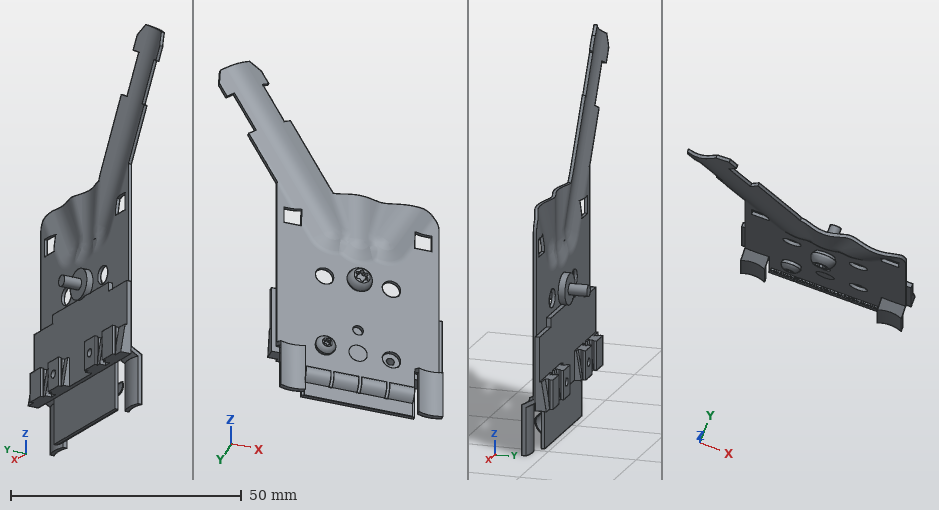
import cadquery as cq
import math


sheet = 0.8
plate_half_width = 18.6
plate_top = 55.0
corner_radius = 4.3
window_side = 4.0
window_x = 15.0
window_z = 46.85
hole_pitch_x = 7.7
hole_diameter = 4.2
upper_hole_z = 32.8
lower_hole_z = 14.1
pilot_diameter = 2.4
pilot_z = 20.2

arm_lean = 30.0
arm_axis_offset = 17.0
arm_start = 46.85
arm_tip = 86.3
arm_shoulder = 83.5
arm_half_width = 5.5
tip_half_width = 3.8
neck_half_width = 3.75
neck_start = 70.1
neck_end = 80.1

rib_height = 1.2
rib_slope = 16.0
rib_crown_half_width = 2.5
rib_length = 59.6
arm_rib_end = 41.7
centre_rib_end = 43.45
rib_root_depth = 0.7
valley_radius = 4.3
foot_radius = 3.8

cut_reach = 8.5
valley_tolerance = 0.3
length_tolerance = 0.01

tongue_half_width = 12.95
tongue_bottom = 0.2
tab_inner_x = 13.0
tab_front = -2.6
tab_thickness = 1.0
tab_bow = 0.55
tab_bend_bottom = 11.5
tab_bend_top = 12.95
tab_bend_extra_depth = 0.5
tab_root_z = 12.3

leaf_thickness = 0.25
finger_count = 4
finger_pitch = 6.4
finger_width = 5.7
finger_top = 7.0
curl_radius = 3.15
curl_centre_y = 1.5
curl_centre_z = 6.1

bracket_thickness = 1.0
bracket_half_width = 19.6
bracket_bottom = 10.7
bracket_shoulder = 27.5
bracket_centre_half_width = 11.8
bracket_top = 29.6
bracket_hole_diameter = 1.8
hook_top = 17.4
wing_thin_y = 2.2
wing_thick_y = 3.3
hook_neck_half_width = 1.7
hook_head_half_width = 2.2
hook_flare_start = 2.9
hook_flare_end = 3.5
hook_back = 4.1
inner_hook_x = 7.7
inner_wing_half_width = 3.0
outer_hook_x = 15.25
outer_wing_inner_x = 12.3

washer_diameter = 7.1
washer_back = 2.3
screw_tip = 6.6
screw_shank_diameter = 2.55
screw_head_diameter = 5.6
screw_seat_diameter = 4.5
screw_face_diameter = 3.7
screw_rim_back = -0.8
screw_rim_front = -1.3
screw_face = -2.7
screw_drive_diameter = 3.0
screw_drive_depth = 1.2
small_head_diameter = 4.6
small_seat_diameter = 4.35
small_face_diameter = 2.2
small_rim_back = -0.7
small_rim_front = -0.8
small_face = -1.8
small_drive_diameter = 1.6
small_drive_depth = 0.7
dome_bulge = 0.13

bracket_back = sheet + bracket_thickness


def box_between(x0, x1, y0, y1, z0, z1):
    """Box given by its limits along each axis."""
    return cq.Workplane("XY").box(x1 - x0, y1 - y0, z1 - z0, centered=False).translate((x0, y0, z0))


def rod(x, z, diameter, y0, y1):
    """Cylinder along Y from y0 to y1."""
    solid = cq.Solid.makeCylinder(diameter / 2, y1 - y0, cq.Vector(x, y0, z), cq.Vector(0, 1, 0))
    return cq.Workplane(obj=solid)


def lean_with_arm(shape):
    """Move a shape standing on the Z axis onto the arm axis."""
    lean = math.radians(arm_lean)
    shift = (arm_axis_offset * math.cos(lean), 0, arm_axis_offset * math.sin(lean))
    return shape.rotate((0, 0, 0), (0, 1, 0), -arm_lean).translate(shift)


def rib(end):
    """Rib along Z with a round crown and straight flanks; its lower end is a half revolution."""
    slope = math.radians(rib_slope)
    crown_radius = rib_crown_half_width / math.sin(slope)
    shoulder_y = -rib_height + crown_radius * (1 - math.cos(slope))
    half_crown_x = crown_radius * math.sin(slope / 2)
    half_crown_y = -rib_height + crown_radius * (1 - math.cos(slope / 2))
    root_x = rib_crown_half_width + (rib_root_depth - shoulder_y) / math.tan(slope)
    half_section = (
        cq.Workplane("XY")
        .moveTo(0, rib_root_depth)
        .lineTo(0, -rib_height)
        .threePointArc((half_crown_x, half_crown_y), (rib_crown_half_width, shoulder_y))
        .lineTo(root_x, rib_root_depth)
        .close()
    )
    round_end = half_section.revolve(180, (0, 0), (0, 1))
    section = (
        cq.Workplane("XY")
        .moveTo(-root_x, rib_root_depth)
        .lineTo(-rib_crown_half_width, shoulder_y)
        .threePointArc((0, -rib_height), (rib_crown_half_width, shoulder_y))
        .lineTo(root_x, rib_root_depth)
        .close()
    )
    return section.extrude(rib_length).union(round_end).translate((0, 0, end))


def valley_edges(ribs):
    """Creases that run up between the middle rib and each leaning rib."""
    valley_lean = math.radians(arm_lean / 2)
    ribs_meet_z = arm_axis_offset / math.sin(math.radians(arm_lean))

    def along_valley(edge):
        ends = (edge.startPoint(), edge.endPoint())
        offsets = [abs(p.x) - (p.z - ribs_meet_z) * math.tan(valley_lean) for p in ends]
        climbs = abs(ends[0].z - ends[1].z) > rib_height
        return climbs and max(map(abs, offsets)) < valley_tolerance

    return [edge for edge in ribs.edges().vals() if along_valley(edge)]


def foot_edges(front):
    """Round ends and long outer sides where the ribs rise from the flat face."""
    flat_edges = [edge for edge in front.edges().vals() if abs(edge.Center().y) < length_tolerance]
    round_edges = [edge for edge in flat_edges if edge.geomType() in ("CIRCLE", "BSPLINE")]
    outer_sides = [edge for edge in flat_edges if abs(edge.Length() - rib_length) < length_tolerance]
    return round_edges + outer_sides


def embossed_front():
    """Thick slab whose front face carries the three ribs, blended into each other and the slab."""
    reach = arm_tip + rib_length
    slab = box_between(-reach, reach, 0, 2 * sheet, 0, 2 * reach)
    arm_rib = lean_with_arm(rib(arm_rib_end))
    ribs = rib(centre_rib_end).union(arm_rib).union(arm_rib.mirror("YZ"))
    ribs = ribs.newObject([ribs.val().fillet(valley_radius, valley_edges(ribs))])
    front = slab.union(ribs)
    return front.newObject([front.val().fillet(foot_radius, foot_edges(front))])


def arm_outline():
    half_outline = [
        (arm_half_width, arm_start),
        (arm_half_width, neck_start),
        (neck_half_width, neck_start),
        (neck_half_width, neck_end),
        (arm_half_width, neck_end),
        (arm_half_width, arm_shoulder),
        (tip_half_width, arm_tip),
    ]
    mirrored = [(-x, z) for x, z in reversed(half_outline)]
    outline = cq.Workplane("XZ").polyline(half_outline + mirrored).close()
    return lean_with_arm(outline.extrude(cut_reach, both=True))


def plate_outline():
    body = box_between(-plate_half_width, plate_half_width, -cut_reach, cut_reach, tab_root_z, plate_top)
    body = body.edges("|Y and >X and >Z").fillet(corner_radius)
    tongue = box_between(
        -tongue_half_width, tongue_half_width, -cut_reach, cut_reach, tongue_bottom, plate_top / 2
    )
    return body.union(tongue).union(arm_outline())


def embossed_sheet():
    """Sheet of even thickness between the embossed front and its copy set one thickness back."""
    front = embossed_front()
    return front.cut(front.translate((0, sheet, 0))).intersect(plate_outline())


def hanging_tab():
    """Bowed tab that steps forward from the plate and hangs down at its right-hand side."""
    middle_x = (tab_inner_x + plate_half_width) / 2
    tab_back = tab_front + tab_thickness
    section = (
        cq.Workplane("XY")
        .moveTo(tab_inner_x, tab_front)
        .threePointArc((middle_x, tab_front + tab_bow), (plate_half_width, tab_front))
        .lineTo(plate_half_width, tab_back)
        .threePointArc((middle_x, tab_back + tab_bow), (tab_inner_x, tab_back))
        .close()
    )
    tab = section.extrude(tab_bend_bottom)
    step_direction = cq.Vector(0, -tab_front, tab_bend_top - tab_bend_bottom)
    for start_z in (tab_bend_bottom, tab_bend_bottom - tab_bend_extra_depth):
        start_outline = section.wires().val().moved(cq.Location(cq.Vector(0, 0, start_z)))
        tab = tab.union(cq.Workplane(obj=cq.Solid.extrudeLinear(start_outline, [], step_direction)))
    in_front_of_back = box_between(0, 2 * plate_half_width, 2 * tab_front, sheet, 0, plate_top)
    return tab.intersect(in_front_of_back)


def make_plate():
    plate = embossed_sheet()
    tab = hanging_tab()
    plate = plate.union(tab).union(tab.mirror("YZ"))
    for x in (-hole_pitch_x, 0, hole_pitch_x):
        for z in (upper_hole_z, lower_hole_z):
            plate = plate.cut(rod(x, z, hole_diameter, 0, sheet))
    plate = plate.cut(rod(0, pilot_z, pilot_diameter, 0, sheet))
    half_window = window_side / 2
    for x in (-window_x, window_x):
        plate = plate.cut(
            box_between(
                x - half_window, x + half_window, -cut_reach, cut_reach,
                window_z - half_window, window_z + half_window,
            )
        )
    return plate


def curl_rise(radius, y):
    """Height at which the lower half of a curl arc crosses the given y."""
    return curl_centre_z - math.sqrt(radius ** 2 - (curl_centre_y - y) ** 2)


def curl_reach(radius, z):
    """Forward position of a curl arc at the given height."""
    return curl_centre_y - math.sqrt(radius ** 2 - (z - curl_centre_z) ** 2)


def finger(middle_x):
    """Finger that curls forward and up from the leaf, standing clear of the plate."""
    outer = curl_radius
    inner = curl_radius - leaf_thickness
    root_z = curl_rise(outer, -leaf_thickness)
    middle_z = (root_z + finger_top) / 2
    return (
        cq.Workplane("YZ")
        .moveTo(0, root_z)
        .lineTo(-leaf_thickness, root_z)
        .threePointArc((curl_reach(outer, middle_z), middle_z), (curl_reach(outer, finger_top), finger_top))
        .lineTo(curl_reach(inner, finger_top), finger_top)
        .threePointArc((curl_reach(inner, middle_z), middle_z), (0, curl_rise(inner, 0)))
        .close()
        .extrude(finger_width / 2, both=True)
        .translate((middle_x, 0, 0))
    )


def make_leaf_spring():
    half_width = ((finger_count - 1) * finger_pitch + finger_width) / 2
    root_z = curl_rise(curl_radius, -leaf_thickness)
    spring = box_between(-half_width, half_width, -leaf_thickness, 0, tongue_bottom, root_z)
    for index in range(finger_count):
        spring = spring.union(finger((index - (finger_count - 1) / 2) * finger_pitch))
    return spring


def hook(hook_x, wing_x0, wing_x1):
    """Flared hook block between wedge wings that thicken downward."""
    wings = (
        cq.Workplane("YZ")
        .polyline([
            (sheet, bracket_bottom),
            (wing_thick_y, bracket_bottom),
            (wing_thin_y, hook_top),
            (sheet, hook_top),
        ])
        .close()
        .extrude(wing_x1 - wing_x0)
        .translate((wing_x0, 0, 0))
    )
    half_section = [
        (hook_neck_half_width, sheet),
        (hook_neck_half_width, hook_flare_start),
        (hook_head_half_width, hook_flare_end),
        (hook_head_half_width, hook_back),
    ]
    mirrored = [(-x, y) for x, y in reversed(half_section)]
    block = (
        cq.Workplane("XY")
        .polyline(half_section + mirrored)
        .close()
        .extrude(hook_top - bracket_bottom)
        .translate((hook_x, 0, bracket_bottom))
    )
    return wings.union(block)


def make_bracket():
    """Stepped back plate with four hooks and a locating boss flush with the plate front."""
    bracket = box_between(
        -bracket_half_width, bracket_half_width, sheet, bracket_back, bracket_bottom, bracket_shoulder
    )
    bracket = bracket.union(
        box_between(
            -bracket_centre_half_width, bracket_centre_half_width, sheet, bracket_back,
            bracket_bottom, bracket_top,
        )
    )
    inner = hook(
        inner_hook_x, inner_hook_x - inner_wing_half_width, inner_hook_x + inner_wing_half_width
    )
    outer = hook(outer_hook_x, outer_wing_inner_x, bracket_half_width)
    for right_hook in (inner, outer):
        bracket = bracket.union(right_hook).union(right_hook.mirror("YZ"))
    bracket = bracket.cut(rod(0, upper_hole_z, washer_diameter, sheet, washer_back))
    bracket = bracket.union(rod(0, lower_hole_z, hole_diameter, 0, bracket_back))
    for x in (-hole_pitch_x, hole_pitch_x):
        bracket = bracket.cut(rod(x, lower_hole_z, bracket_hole_diameter, sheet, hook_back))
    return bracket


def make_washer():
    ring = rod(0, upper_hole_z, washer_diameter, sheet, washer_back)
    return ring.cut(rod(0, upper_hole_z, screw_shank_diameter, sheet, washer_back))


def star_drive(diameter, depth, face):
    """Six-lobed recess sunk from the head face."""
    lobe_count = 6
    lobe_step = 360 / lobe_count
    lobe_diameter = diameter / 4
    core_diameter = diameter - lobe_diameter
    lobe_circle_radius = core_diameter / 2
    recess = rod(0, 0, core_diameter, face, face + depth)
    for index in range(lobe_count):
        angle = math.radians((index + 0.5) * lobe_step)
        lobe_x = lobe_circle_radius * math.cos(angle)
        lobe_z = lobe_circle_radius * math.sin(angle)
        recess = recess.union(rod(lobe_x, lobe_z, lobe_diameter, face, face + depth))
    return recess


def domed_screw(seat_d, head_d, face_d, rim_back, rim_front, face, shank_d, tip):
    """Screw along Y: neck filling the plate hole, flared head and a plain shank."""
    dome_middle = ((head_d + face_d) / 4 + dome_bulge, (rim_front + face) / 2 - dome_bulge)
    return (
        cq.Workplane("XY")
        .moveTo(0, face)
        .lineTo(face_d / 2, face)
        .threePointArc(dome_middle, (head_d / 2, rim_front))
        .lineTo(head_d / 2, rim_back)
        .lineTo(seat_d / 2, 0)
        .lineTo(hole_diameter / 2, 0)
        .lineTo(hole_diameter / 2, sheet)
        .lineTo(shank_d / 2, sheet)
        .lineTo(shank_d / 2, tip)
        .lineTo(0, tip)
        .close()
        .revolve(360, (0, 0), (0, 1))
    )


def make_main_screw():
    screw = domed_screw(
        screw_seat_diameter, screw_head_diameter, screw_face_diameter,
        screw_rim_back, screw_rim_front, screw_face, screw_shank_diameter, screw_tip,
    )
    screw = screw.cut(star_drive(screw_drive_diameter, screw_drive_depth, screw_face))
    return screw.translate((0, 0, upper_hole_z))


def make_small_screw():
    screw = domed_screw(
        small_seat_diameter, small_head_diameter, small_face_diameter,
        small_rim_back, small_rim_front, small_face, bracket_hole_diameter, bracket_back,
    )
    screw = screw.cut(star_drive(small_drive_diameter, small_drive_depth, small_face))
    return screw.translate((-hole_pitch_x, 0, lower_hole_z))


plate = make_plate()
leaf_spring = make_leaf_spring()
bracket = make_bracket()
washer = make_washer()
main_screw = make_main_screw()
small_screw = make_small_screw()

result = cq.Compound.makeCompound([
    plate.val(),
    leaf_spring.val(),
    bracket.val(),
    washer.val(),
    main_screw.val(),
    small_screw.val(),
])